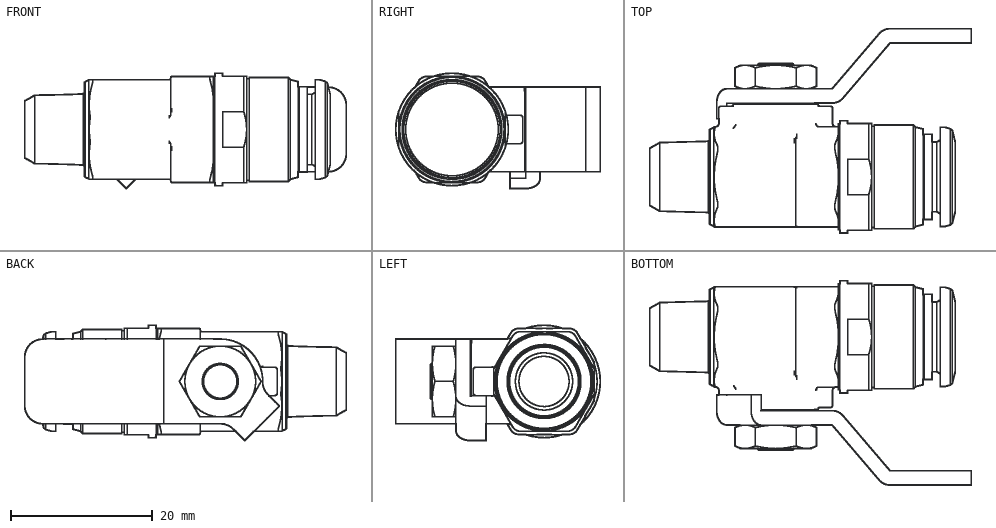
import cadquery as cq
import math


TOLERANCE = 0.05

BODY_START = 8.45
BODY_STEP = 20.6
BODY_END = 26.65
SMALL_APOTHEM = 7.05
LARGE_APOTHEM = 7.5
BODY_HALF_DEPTH = 7.1
HEX_EDGE_RADIUS = 1.35
STEP_FILLET = 0.2
SMALL_SIDE_RADIUS = 0.45
LARGE_SIDE_RADIUS = 0.9
FRONT_CHAMFER = 0.15
FRONT_FACE_RADIUS = 6.75
FRONT_BEVEL_START = 0.65
FRONT_BEVEL_RADIUS = 7.0
FRONT_BEVEL_LENGTH = 1.55
REAR_BEVEL_LENGTH = 0.6
BEVEL_OUTER_RADIUS = 8.55

TIP_RADIUS = 4.05
TIP_CHAMFER_LENGTH = 1.45
TAPER_START_RADIUS = 4.85
TAPER_END_RADIUS = 5.05
TAPER_FLARE = 0.2
CONE_MOUTH_RADIUS = 3.55
CONE_DEPTH = CONE_MOUTH_RADIUS

COLLAR_START = 26.8
COLLAR_RADIUS = 7.95
COLLAR_END = 31.35
COLLAR_CHAMFER = 0.45
FLAT_START = 27.9
FLAT_DISTANCE = 7.55
GROOVE_RADIUS = 7.15

SLEEVE_START = 31.65
SLEEVE_RADIUS = 7.35
SLEEVE_END = 37.2
NOSE_END = 38.55
NOSE_START_RADIUS = 7.05
NOSE_END_RADIUS = 6.75
NOSE_BEVEL_LENGTH = 0.25
INNER_RING_END = 39.85
INNER_RING_RADIUS = 6.05
INNER_RING_CHAMFER = 0.15
NECK_RADIUS = 4.95
NECK_FLARE_START = 40.5
NECK_FLARE_RADIUS = 5.2
RELEASE_START = 40.95
RELEASE_STRAIGHT = 0.65
RELEASE_RADIUS = 7.05
RELEASE_TAPER_END = 42.38
RELEASE_TAPER_RADIUS = 6.8
RELEASE_RIM_END = 42.7
RELEASE_RIM_RADIUS = 6.55
RELEASE_END = 43.1

STEM_X = 17.8
BOSS_RADIUS = 6.0
BOSS_TOP = 10.25
BOSS_FILLET = 0.55
LUG_REACH = 8.05
LUG_HALF_WIDTH = 2.0
LUG_TOP = 10.0
LUG_FILLET = 0.35
LUG_ROOT_FILLET = 0.45
LUG_BOSS_FILLET = 0.23

LEVER_THICKNESS = 2.05
LEVER_BOTTOM = 10.4
LEVER_TOP = LEVER_BOTTOM + LEVER_THICKNESS
HUB_RADIUS = BOSS_RADIUS
HUB_FILLET = 2.45
LEVER_HALF_WIDTH = HUB_RADIUS
LEVER_BEND_X = 25.72
LEVER_BEND_ANGLE = math.radians(49.5)
GRIP_TOP = 20.9
GRIP_END = 45.35
GRIP_CORNER_RADIUS = 2.6
TAB_REACH = 8.35
TAB_WIDTH = 6.9
TAB_BOTTOM = 8.15
TAB_BEND_RADIUS = 2.0
TAB_ANGLE = 45

NUT_APOTHEM = 5.0
NUT_TOP = 15.75
NUT_BEVEL_DEPTH = 0.35
STEM_RADIUS = 2.55
STEM_TOP = 16.0
STEM_CHAMFER = 0.2
SPACER_RADIUS = 5.45


def hex_corner_radius(apothem):
    return apothem / math.cos(math.radians(30))


def revolve_about_x(profile):
    """Revolve (x, radius) points about the flow axis."""
    return cq.Workplane("XY").polyline(profile).close().revolve(360, (0, 0, 0), (1, 0, 0))


def cylinder_along_y(radius, bottom, top):
    """Cylinder on the stem axis between two Y heights."""
    return (
        cq.Workplane("XZ", origin=(STEM_X, bottom, 0))
        .circle(radius)
        .extrude(bottom - top)
    )


def around_stem(half_x, bottom, top, half_z):
    """Selector for edges lying wholly in a box centred on the stem axis."""
    return cq.selectors.BoxSelector(
        (STEM_X - half_x - TOLERANCE, bottom, -half_z - TOLERANCE),
        (STEM_X + half_x + TOLERANCE, top + TOLERANCE, half_z + TOLERANCE),
        boundingbox=True,
    )


def keep_between(solid, start, end):
    """Part of a solid between two X stations."""
    size = 4 * BODY_END
    window = cq.Workplane("XY").box(end - start, size, size, centered=(False, True, True))
    return solid.intersect(window.translate((start, 0, 0)))


def hex_bar(apothem, start, end):
    """Hexagonal bar along X with rounded long edges."""
    return (
        cq.Workplane("YZ", origin=(start, 0, 0))
        .polygon(6, 2 * hex_corner_radius(apothem))
        .extrude(end - start)
        .edges("|X")
        .fillet(HEX_EDGE_RADIUS)
    )


def flatten_sides(bar):
    """Cut off the hexagon corners that point along Y."""
    slab = cq.Workplane("XY").box(4 * BODY_END, 2 * BODY_HALF_DEPTH, 4 * SMALL_APOTHEM)
    return bar.intersect(slab)


def make_lugs():
    """Bar through the boss whose ends stand out as the two stop lugs."""
    return (
        cq.Workplane("XY")
        .box(2 * LUG_REACH, LUG_TOP, 2 * LUG_HALF_WIDTH, centered=(True, False, True))
        .translate((STEM_X, 0, 0))
        .edges("|Y or >Y")
        .fillet(LUG_FILLET)
    )


def make_tower():
    """Stem boss with its two stop lugs."""
    tower = cylinder_along_y(BOSS_RADIUS, 0, BOSS_TOP).union(make_lugs())
    lug_corner_x = math.sqrt(BOSS_RADIUS**2 - LUG_HALF_WIDTH**2)
    lug_corners = around_stem(lug_corner_x, 0, BOSS_TOP, LUG_HALF_WIDTH)
    return tower.edges("|Y").edges(lug_corners).fillet(LUG_BOSS_FILLET)


def body_section(apothem, side_edge_radius, start, end):
    """Stretch of the body of one hexagon size, with the boss and lugs blended into it."""
    bar = flatten_sides(hex_bar(apothem, BODY_START, BODY_END))
    bar = bar.faces("<Y or >Y").edges("|X").fillet(side_edge_radius)
    with_boss = bar.union(cylinder_along_y(BOSS_RADIUS, 0, BOSS_TOP))
    boss_root = around_stem(BOSS_RADIUS, TOLERANCE, BODY_HALF_DEPTH, BOSS_RADIUS)
    with_boss = with_boss.edges(boss_root).fillet(BOSS_FILLET)
    with_lugs = bar.union(make_lugs())
    lug_root = around_stem(LUG_REACH, TOLERANCE, BODY_HALF_DEPTH, LUG_HALF_WIDTH)
    with_lugs = with_lugs.edges(lug_root).fillet(LUG_ROOT_FILLET)
    return keep_between(with_boss.union(with_lugs).union(make_tower()), start, end)


def make_step(start, end):
    """Short rounded step between the two hexagon sizes."""
    small = hex_bar(SMALL_APOTHEM, BODY_START, BODY_STEP)
    large = hex_bar(LARGE_APOTHEM, BODY_STEP, BODY_END).faces("<X").edges().fillet(STEP_FILLET)
    step = small.union(large)
    root = cq.selectors.BoxSelector(
        (BODY_STEP - TOLERANCE, -BODY_END, -BODY_END),
        (BODY_STEP + TOLERANCE, BODY_END, BODY_END),
        boundingbox=True,
    )
    step = flatten_sides(step.edges(root).fillet(STEP_FILLET))
    return keep_between(step.union(make_tower()), start, end)


def make_body():
    step_start = BODY_STEP - STEP_FILLET
    step_end = BODY_STEP + STEP_FILLET
    front = body_section(SMALL_APOTHEM, SMALL_SIDE_RADIUS, BODY_START, step_start)
    rear = body_section(LARGE_APOTHEM, LARGE_SIDE_RADIUS, step_end, BODY_END)
    body = front.union(make_step(step_start, step_end)).union(rear)

    envelope = revolve_about_x([
        (BODY_START, 0),
        (BODY_START, FRONT_FACE_RADIUS - FRONT_CHAMFER),
        (BODY_START + FRONT_CHAMFER, FRONT_FACE_RADIUS),
        (BODY_START + FRONT_BEVEL_START, FRONT_BEVEL_RADIUS),
        (BODY_START + FRONT_BEVEL_LENGTH, BEVEL_OUTER_RADIUS),
        (BODY_END - REAR_BEVEL_LENGTH, BEVEL_OUTER_RADIUS),
        (BODY_END, LARGE_APOTHEM),
        (BODY_END, 0),
    ])
    lug_corner_reach = math.hypot(LUG_REACH, LUG_HALF_WIDTH)
    return body.intersect(envelope.union(cylinder_along_y(lug_corner_reach, 0, BOSS_TOP)))


def make_male_end():
    taper_end = BODY_START - TAPER_FLARE
    return revolve_about_x([
        (CONE_DEPTH, 0),
        (0, CONE_MOUTH_RADIUS),
        (0, TIP_RADIUS),
        (TIP_CHAMFER_LENGTH, TAPER_START_RADIUS),
        (taper_end, TAPER_END_RADIUS),
        (BODY_START, TAPER_END_RADIUS + TAPER_FLARE),
        (BODY_START, 0),
    ])


def make_collar():
    collar = revolve_about_x([
        (BODY_END, 0),
        (BODY_END, LARGE_APOTHEM),
        (COLLAR_START, LARGE_APOTHEM),
        (COLLAR_START, COLLAR_RADIUS),
        (COLLAR_END - COLLAR_CHAMFER, COLLAR_RADIUS),
        (COLLAR_END, COLLAR_RADIUS - COLLAR_CHAMFER),
        (COLLAR_END, 0),
    ])
    flat_length = COLLAR_END - FLAT_START
    cutter = cq.Workplane("XY").box(
        flat_length, 2 * COLLAR_RADIUS, COLLAR_RADIUS, centered=(False, True, False)
    )
    cutter = cutter.translate((FLAT_START, 0, FLAT_DISTANCE))
    for quarter in range(4):
        collar = collar.cut(cutter.rotate((0, 0, 0), (1, 0, 0), 90 * quarter))
    return collar


def make_sleeve():
    return revolve_about_x([
        (COLLAR_END, 0),
        (COLLAR_END, GROOVE_RADIUS),
        (SLEEVE_START, GROOVE_RADIUS),
        (SLEEVE_START, SLEEVE_RADIUS),
        (SLEEVE_END, SLEEVE_RADIUS),
        (SLEEVE_END + NOSE_BEVEL_LENGTH, NOSE_START_RADIUS),
        (NOSE_END, NOSE_END_RADIUS),
        (NOSE_END, INNER_RING_RADIUS - INNER_RING_CHAMFER),
        (NOSE_END + INNER_RING_CHAMFER, INNER_RING_RADIUS),
        (INNER_RING_END, INNER_RING_RADIUS),
        (INNER_RING_END, NECK_RADIUS),
        (NECK_FLARE_START, NECK_RADIUS),
        (RELEASE_START, NECK_FLARE_RADIUS),
        (RELEASE_START, RELEASE_RADIUS),
        (RELEASE_START + RELEASE_STRAIGHT, RELEASE_RADIUS),
        (RELEASE_TAPER_END, RELEASE_TAPER_RADIUS),
        (RELEASE_RIM_END, RELEASE_RIM_RADIUS),
        (RELEASE_END, NECK_RADIUS),
        (RELEASE_END, 0),
    ])


def make_lever():
    thick = LEVER_THICKNESS
    sine = math.sin(LEVER_BEND_ANGLE)
    cosine = math.cos(LEVER_BEND_ANGLE)
    half_sine = math.sin(LEVER_BEND_ANGLE / 2)
    half_cosine = math.cos(LEVER_BEND_ANGLE / 2)
    low_x, low_y = LEVER_BEND_X, LEVER_TOP
    ramp_x, ramp_y = low_x + thick * sine, low_y - thick * cosine
    high_y = GRIP_TOP - thick
    high_x = ramp_x + (high_y - ramp_y) * cosine / sine
    strip = (
        cq.Workplane("XY", origin=(0, 0, -LEVER_HALF_WIDTH))
        .moveTo(STEM_X, LEVER_BOTTOM)
        .lineTo(low_x, LEVER_BOTTOM)
        .threePointArc((low_x + thick * half_sine, low_y - thick * half_cosine), (ramp_x, ramp_y))
        .lineTo(high_x, high_y)
        .lineTo(GRIP_END, high_y)
        .lineTo(GRIP_END, GRIP_TOP)
        .lineTo(high_x, GRIP_TOP)
        .threePointArc(
            (high_x - thick * half_sine, high_y + thick * half_cosine),
            (high_x - thick * sine, high_y + thick * cosine),
        )
        .lineTo(low_x, LEVER_TOP)
        .lineTo(STEM_X, LEVER_TOP)
        .close()
        .extrude(2 * LEVER_HALF_WIDTH)
    )
    strip = strip.faces(">X").edges("|Y").fillet(GRIP_CORNER_RADIUS)

    tab_length = LEVER_TOP - TAB_BOTTOM
    arm = cq.Workplane("XY").box(TAB_REACH, thick, TAB_WIDTH, centered=(False, False, True))
    arm = arm.translate((-TAB_REACH, LEVER_BOTTOM, 0))
    tab = cq.Workplane("XY").box(thick, tab_length, TAB_WIDTH, centered=(False, False, True))
    tab = tab.translate((-TAB_REACH, TAB_BOTTOM, 0))
    arm = arm.union(tab).edges("<X and >Y").fillet(TAB_BEND_RADIUS)
    arm = arm.translate((STEM_X, 0, 0))

    hub = cylinder_along_y(HUB_RADIUS, LEVER_BOTTOM, LEVER_TOP).union(arm)
    corner_x = STEM_X - math.sqrt(HUB_RADIUS**2 - TAB_WIDTH**2 / 4)
    hub_corners = cq.selectors.BoxSelector(
        (corner_x - TOLERANCE, LEVER_BOTTOM - TOLERANCE, -TAB_WIDTH),
        (corner_x + TOLERANCE, LEVER_TOP + TOLERANCE, TAB_WIDTH),
        boundingbox=True,
    )
    hub = hub.edges("|Y").edges(hub_corners).fillet(HUB_FILLET)
    hub = hub.rotate((STEM_X, 0, 0), (STEM_X, 1, 0), -TAB_ANGLE)
    return strip.union(hub)


def make_nut():
    nut_height = NUT_TOP - LEVER_TOP
    corner = hex_corner_radius(NUT_APOTHEM)
    nut = (
        cq.Workplane("XZ", origin=(STEM_X, NUT_TOP, 0))
        .polygon(6, 2 * corner)
        .extrude(nut_height)
    )
    envelope = (
        cylinder_along_y(corner, LEVER_TOP, NUT_TOP)
        .faces("<Y or >Y")
        .chamfer(NUT_BEVEL_DEPTH, corner - NUT_APOTHEM)
    )
    return nut.intersect(envelope)


stem = cylinder_along_y(STEM_RADIUS, 0, STEM_TOP).faces(">Y").chamfer(STEM_CHAMFER)
spacer = cylinder_along_y(SPACER_RADIUS, 0, LEVER_BOTTOM)

result = (
    make_body()
    .union(make_male_end())
    .union(make_collar())
    .union(make_sleeve())
    .union(spacer)
    .union(make_lever())
    .union(make_nut())
    .union(stem)
)